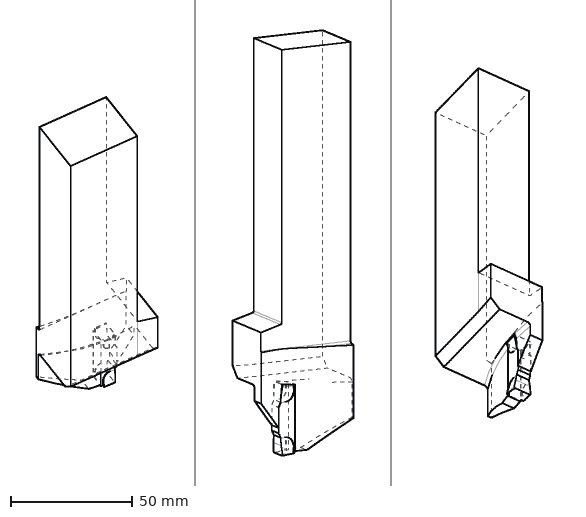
import cadquery as cq
import math


shank_width = 25.0
shank_height = 32.0
holder_length = 170.0

head_height = 41.7
head_bottom_z = 28.3
head_chamfer = 4.1
shoulder_z = 54.3
shoulder_angle = 15.0
shoulder_fillet = 0.8
head_side_flare = 0.3

nose_start_y = 20.4
nose_angle = 30.0
jaw_corner_z = 21.7
jaw_tip_y = 33.4
jaw_tip_z = 10.5

hollow_flank_crest_x = -0.02
hollow_flank_radius = 200.0
bulging_flank_crest_x = 6.4
bulging_flank_radius = 75.0
blade_root_fillet = 1.5

ledge_z = 42.5
ledge_angle = 15.0
ledge_fillet = 1.0

cutting_edge_y = shank_height
insert_overhang = 1.35
insert_length = 30.2
insert_seat_y = 25.75
insert_ridge_y = 33.4
rake_step_y = 32.4
rake_step_start = 4.4
rake_step_end = 7.6
ridge_start = 9.6
end_relief_angle = 7.0
cutting_width = 8.4
insert_center_x = 3.3
neck_width = 6.1
insert_corner_radius = 0.8
wide_end_length = 7.6
wide_end_base_y = 26.7
wide_end_radius = 3.5

insert_middle_z = insert_length / 2 - insert_overhang
margin = 5.0


def tangent(angle):
    return math.tan(math.radians(angle))


def flank_point(crest_x, radius, y):
    """(X, Y) point of a blade flank arc at height y."""
    return (crest_x - radius + math.sqrt(radius**2 - (y - cutting_edge_y) ** 2), y)


def hollow_flank(y):
    return flank_point(hollow_flank_crest_x, hollow_flank_radius, y)


def bulging_flank(y):
    return flank_point(bulging_flank_crest_x, bulging_flank_radius, y)


def extrude_along_x(outline, x_start, x_end):
    """Prism of a (Y, Z) outline between two X places."""
    return outline.extrude(x_end - x_start).translate((x_start, 0, 0))


def extrude_along_y(outline):
    """Prism of an (X, Z) outline that covers the whole holder height."""
    return outline.extrude(-(head_height + 2 * margin)).translate((0, -margin, 0))


def make_side_prism():
    """Side outline of the whole holder, wide enough to trim every part of it."""
    shoulder_drop = (head_height - shank_height) * tangent(shoulder_angle)
    outline = cq.Workplane("YZ").polyline(
        [
            (0, nose_start_y * tangent(nose_angle)),
            (nose_start_y, 0),
            (insert_seat_y, 0),
            (jaw_tip_y, jaw_tip_z),
            (head_height, jaw_corner_z),
            (head_height, shoulder_z - shoulder_drop),
            (shank_height, shoulder_z),
            (shank_height, holder_length),
            (0, holder_length),
        ]
    ).close()
    prism = extrude_along_x(outline, -margin, shank_width + margin)
    shoulder_corner = cq.selectors.NearestToPointSelector((shank_width / 2, shank_height, shoulder_z))
    return prism.edges("|X").edges(shoulder_corner).fillet(shoulder_fillet)


def make_blank():
    """Full-length block whose -X side is the hollow blade flank and whose +X side flares at the head."""
    return (
        cq.Workplane("XY")
        .moveTo(*hollow_flank(0))
        .lineTo(shank_width, 0)
        .lineTo(shank_width, shank_height)
        .lineTo(shank_width + head_side_flare, head_height)
        .lineTo(*hollow_flank(head_height))
        .threePointArc(hollow_flank(head_height / 2), hollow_flank(0))
        .close()
        .extrude(holder_length)
    )


def make_shank_side_cut():
    """Material to remove above the sloping ledge so that the shank side is flat at X = 0."""
    start_x = hollow_flank(0)[0]
    slope = tangent(ledge_angle)
    root_z = ledge_z - start_x * slope
    outline = cq.Workplane("XZ").polyline(
        [
            (start_x - margin, ledge_z - margin * slope),
            (0, root_z),
            (0, holder_length + margin),
            (start_x - margin, holder_length + margin),
        ]
    ).close()
    ledge_root = cq.selectors.NearestToPointSelector((0, head_height / 2, root_z))
    return extrude_along_y(outline).edges("|Y").edges(ledge_root).fillet(ledge_fillet)


def make_blade_relief():
    """Space beyond the bulging blade flank, below the head; its top edge is rounded at the blade root."""
    relief_end_x = shank_width + margin
    start_y = -margin
    end_y = head_height + margin
    relief = (
        cq.Workplane("XY", origin=(0, 0, -margin))
        .moveTo(*bulging_flank(start_y))
        .threePointArc(bulging_flank(head_height / 2), bulging_flank(end_y))
        .lineTo(relief_end_x, end_y)
        .lineTo(relief_end_x, start_y)
        .close()
        .extrude(head_bottom_z + margin)
    )
    root = cq.selectors.NearestToPointSelector((*bulging_flank(head_height / 2), head_bottom_z))
    return relief.edges(">Z").edges(root).fillet(blade_root_fillet)


def make_head_chamfer_cut():
    """Wedge that bevels the bottom edge of the head on the +X side."""
    outline = cq.Workplane("XZ").polyline(
        [
            (shank_width - head_chamfer - margin, head_bottom_z - margin),
            (shank_width + margin, head_bottom_z - margin),
            (shank_width + margin, head_bottom_z + head_chamfer + margin),
        ]
    ).close()
    return extrude_along_y(outline)


def make_insert_side_prism(width):
    """Side outline of the insert: flat seat, raised middle ridge and two rake faces."""
    relief = (cutting_edge_y - insert_seat_y) * tangent(end_relief_angle)
    half = insert_length / 2
    lower_half = [
        (insert_seat_y, relief - half),
        (cutting_edge_y, -half),
        (rake_step_y, rake_step_start - half),
        (rake_step_y, rake_step_end - half),
        (insert_ridge_y, ridge_start - half),
    ]
    upper_half = [(y, -z) for y, z in reversed(lower_half)]
    outline = cq.Workplane("YZ").polyline(lower_half + upper_half).close()
    return extrude_along_x(outline, -width / 2, width / 2)


def make_wide_end():
    """Cutting end at the bottom: widest at the edge, tapering back to the neck width."""
    half = insert_length / 2
    side = cq.Workplane("YZ").rect(2 * margin, 2 * wide_end_length)
    side = extrude_along_x(side, -cutting_width, cutting_width).translate((0, wide_end_base_y + margin, -half))
    inner_corner = cq.selectors.NearestToPointSelector((0, wide_end_base_y, wide_end_length - half))
    side = side.edges("|X").edges(inner_corner).fillet(wide_end_radius)
    plan = extrude_along_y(
        cq.Workplane("XZ").polyline(
            [
                (-cutting_width / 2, -half),
                (cutting_width / 2, -half),
                (neck_width / 2, wide_end_length - half),
                (-neck_width / 2, wide_end_length - half),
            ]
        ).close()
    )
    plan = plan.edges("|Y and <Z").fillet(insert_corner_radius)
    return make_insert_side_prism(cutting_width).intersect(side).intersect(plan)


def make_insert():
    """Double-ended grooving insert."""
    lower_end = make_wide_end()
    upper_end = lower_end.mirror("XY")
    insert = make_insert_side_prism(neck_width).union(lower_end).union(upper_end)
    return insert.translate((insert_center_x, 0, insert_middle_z))


def make_holder():
    """Shank, head and blade, with a seat that fits the insert outline."""
    holder = make_blank().cut(make_shank_side_cut()).cut(make_blade_relief()).cut(make_head_chamfer_cut())
    seat = make_insert_side_prism(cutting_width).translate((insert_center_x, 0, insert_middle_z))
    return holder.intersect(make_side_prism()).cut(seat)


holder = make_holder()
insert = make_insert()

result = cq.Compound.makeCompound([holder.solids().val(), insert.solids().val()])